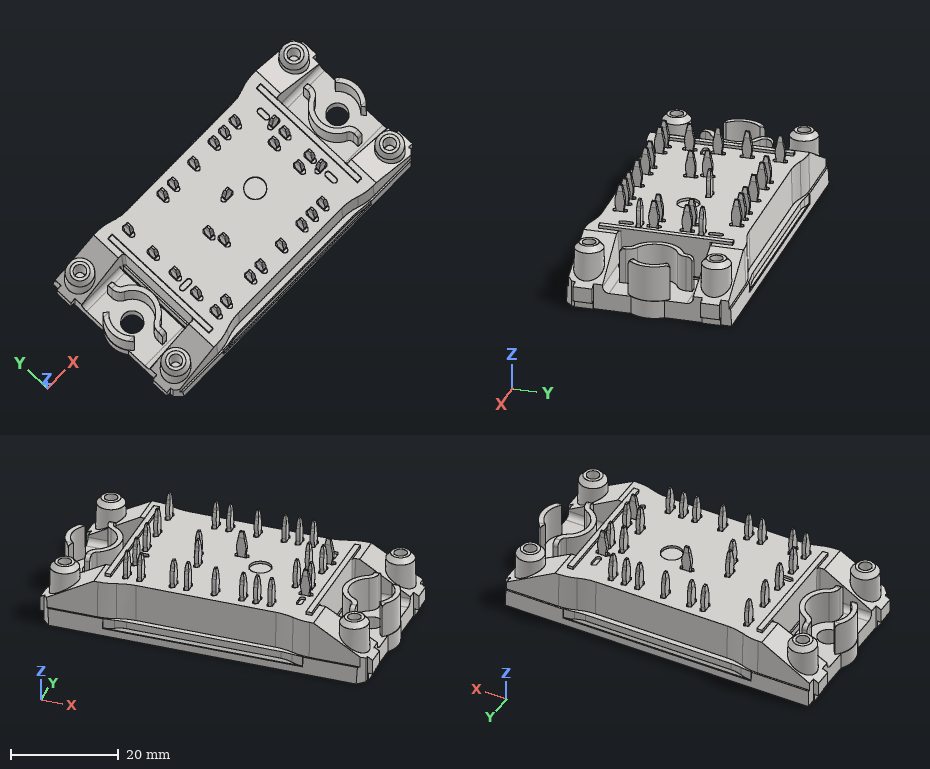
import cadquery as cq
import math

LENGTH = 66.0
WIDTH = 32.5
HEIGHT = 16.25
BODY_LENGTH = 63.9
BASE_HEIGHT = 3.55
BODY_HEIGHT = 11.0
BASE_DRAFT = 3.0
UPPER_DRAFT = 1.5
CORNER_CHAMFER = 1.45
SHOULDER_LENGTH = 43.55
RAMP_ANGLE = 30.0

UPPER_HALF_WIDTH = 15.7
WAIST_HALF_WIDTH = 14.45
WAIST_START = 21.0
WAIST_END = 13.85

RECESS_HALF_WIDTH = 15.6
RECESS_MOUTH = 15.9
RECESS_START = 19.8
RECESS_END = 15.3
RECESS_FLOOR = 2.1
RECESS_LIP = 1.5

NOTCH_HALF_WIDTH = 8.7
NOTCH_FILLET = 1.25
NOTCH_CORNER_RADIUS = 0.45
NOTCH_DRAFT = 2.8
SLOT_INNER_END = 20.85
SLOT_WIDTH = 0.8
SCREW_DIAMETER = 4.3
PLATE_LOBE_RADIUS = 5.5
GUARD_OUTER_RADIUS = 5.4
GUARD_THICKNESS = 1.05
GUARD_TOP = 10.6
GUARD_CORNER_RADIUS = 1.05
GUARD_END_ROUNDING = 0.8
GUARD_ARC_HALF_ANGLE = 48.5
WING_OFFSET = 1.25
WING_HALF_SPAN = 7.05
WING_BEND_RADIUS = 1.7

BOSS_X = 28.7
BOSS_Y = 12.35
BOSS_FOOT_DIAMETER = 5.9
BOSS_SHOULDER_DIAMETER = 5.55
BOSS_TOP_DIAMETER = 3.75
BOSS_TOP = 12.1
BOSS_HOLE_DIAMETER = 2.5
BOSS_HOLE_BOTTOM_DIAMETER = 2.0
BOSS_HOLE_DEPTH = 5.3
TAB_WIDTH = 3.6
TAB_STEP_HEIGHT = 1.6
TAB_FOOT_PROJECTION = 0.25

RAIL_X = 19.9
RAIL_WIDTH = 1.1
RAIL_LENGTH = 26.0
RAIL_HEIGHT = 0.6
DIMPLE_X = 5.5
TOP_RECESS_DEPTH = 0.5
PIN_SLOT_LENGTH = 2.8
PIN_SLOT_WIDTH = 1.1
PIN_THICKNESS = 0.8
PIN_TIP_THICKNESS = 0.4
PIN_FOOT_WIDTH = 1.45
PIN_BULGE_WIDTH = 1.85
PIN_COLLAR_WIDTH = 1.25
PIN_NECK_WIDTH = 1.2
PIN_TIP_WIDTH = 0.7
PIN_SHOULDER_WIDTH = 1.5
PIN_SHANK_TOP = 11.4
PIN_SHOULDER_HEIGHT = 14.2
PIN_COLLAR_HEIGHT = 14.7
PIN_NECK_HEIGHT = 15.05

PIN_ROW_Y = 11.3
BACK_ROW_X = (-16.75, -7.5, -4.7, 0.8, 6.3, 9.05, 11.9)
FRONT_ROW_X = (-16.75, -14.0, -7.5, -4.7, 0.8, 6.3, 9.05, 11.9)
INNER_PINS = (
    (-16.75, 4.9), (-16.75, -0.8), (-16.75, -6.3),
    (-6.8, 0.1), (-5.8, -2.85),
    (13.9, 3.2), (16.75, 3.2), (13.9, -3.3), (16.75, -3.3),
)
PINS_ALONG_Y = (
    tuple((x, PIN_ROW_Y) for x in BACK_ROW_X)
    + tuple((x, -PIN_ROW_Y) for x in FRONT_ROW_X)
    + INNER_PINS
)
PINS_ALONG_X = ((0.8, 2.8), (16.75, 6.1), (16.75, -6.1))
EMPTY_SLOTS_ALONG_Y = ((16.75, 8.7), (16.75, -8.7))
EMPTY_SLOTS_ALONG_X = ((-16.75, -3.4),)

HALF_LENGTH = LENGTH / 2
HALF_BODY = BODY_LENGTH / 2
RAIL_OUTER_SIDE = RAIL_X + RAIL_WIDTH / 2
SLOT_OUTER_END = SLOT_INNER_END + SLOT_WIDTH
SCREW_X = HALF_LENGTH - PLATE_LOBE_RADIUS
GUARD_INNER_RADIUS = GUARD_OUTER_RADIUS - GUARD_THICKNESS
GUARD_MID_RADIUS = GUARD_OUTER_RADIUS - GUARD_THICKNESS / 2


def block(x_min, x_max, y_min, y_max, z_min, z_max):
    size = (x_max - x_min, y_max - y_min, z_max - z_min)
    return cq.Workplane("XY").box(*size, centered=False).translate((x_min, y_min, z_min))


def both_ends(left_end):
    """The given shape at the -X end together with its mirror image at the +X end."""
    return left_end.union(left_end.mirror("YZ"))


def ramp_height(x):
    """Height of the sloping end face at a distance x from the middle."""
    return BODY_HEIGHT - (x - SHOULDER_LENGTH / 2) * math.tan(math.radians(RAMP_ANGLE))


def s_curve(sketch, start, end):
    """Extends the sketch from start to end by two equal arcs that leave and arrive along X."""
    run = end[0] - start[0]
    rise = end[1] - start[1]
    middle = (start[0] + run / 2, start[1] + rise / 2)
    radius = (run**2 + rise**2) / (4 * abs(rise))
    sag = math.copysign(radius - math.sqrt(radius**2 - (run / 4) ** 2), rise)
    first = (start[0] + run / 4, start[1] + sag)
    second = (end[0] - run / 4, end[1] - sag)
    return sketch.threePointArc(first, middle).threePointArc(second, end)


def make_upper():
    """Upper body with a waisted outline, before its ends are trimmed."""
    side, waist = UPPER_HALF_WIDTH, WAIST_HALF_WIDTH
    outline = cq.Workplane("XY").workplane(offset=BASE_HEIGHT).moveTo(-HALF_LENGTH, side)
    outline = outline.lineTo(-WAIST_START, side)
    outline = s_curve(outline, (-WAIST_START, side), (-WAIST_END, waist)).lineTo(WAIST_END, waist)
    outline = s_curve(outline, (WAIST_END, waist), (WAIST_START, side)).lineTo(HALF_LENGTH, side)
    outline = outline.lineTo(HALF_LENGTH, -side).lineTo(WAIST_START, -side)
    outline = s_curve(outline, (WAIST_START, -side), (WAIST_END, -waist)).lineTo(-WAIST_END, -waist)
    outline = s_curve(outline, (-WAIST_END, -waist), (-WAIST_START, -side))
    outline = outline.lineTo(-HALF_LENGTH, -side).close()
    return outline.extrude(BODY_HEIGHT - BASE_HEIGHT, taper=UPPER_DRAFT)


def make_body():
    """Base and upper body, trimmed to the footprint and to the sloping ends."""
    base = cq.Workplane("XY").rect(LENGTH, WIDTH).extrude(BASE_HEIGHT, taper=BASE_DRAFT)
    footprint = cq.Workplane("XY").rect(BODY_LENGTH, WIDTH).extrude(BODY_HEIGHT)
    footprint = footprint.edges("|Z and <Y").chamfer(CORNER_CHAMFER)
    ramp_profile = (
        cq.Workplane("XZ")
        .polyline([
            (-HALF_LENGTH, 0),
            (-HALF_LENGTH, ramp_height(HALF_LENGTH)),
            (-SHOULDER_LENGTH / 2, BODY_HEIGHT),
            (SHOULDER_LENGTH / 2, BODY_HEIGHT),
            (HALF_LENGTH, ramp_height(HALF_LENGTH)),
            (HALF_LENGTH, 0),
        ])
        .close()
        .extrude(WIDTH / 2, both=True)
    )
    return base.union(make_upper()).intersect(footprint).intersect(ramp_profile)


def make_side_recess():
    """Cutter for the shallow recess in the +Y side of the base, with its sloping floor."""
    outside = WIDTH
    left_mouth, right_mouth = (-RECESS_START, RECESS_MOUTH), (RECESS_START, RECESS_MOUTH)
    left_end, right_end = (-RECESS_END, RECESS_HALF_WIDTH), (RECESS_END, RECESS_HALF_WIDTH)
    plan = cq.Workplane("XY").moveTo(*left_mouth)
    plan = s_curve(plan, left_mouth, left_end).lineTo(*right_end)
    plan = s_curve(plan, right_end, right_mouth)
    plan = plan.lineTo(RECESS_START, outside).lineTo(-RECESS_START, outside).close()
    floor_profile = (
        cq.Workplane("YZ")
        .polyline([
            (RECESS_HALF_WIDTH, BASE_HEIGHT),
            (RECESS_HALF_WIDTH, RECESS_FLOOR),
            (RECESS_MOUTH, RECESS_LIP),
            (outside, RECESS_LIP),
            (outside, BASE_HEIGHT),
        ])
        .close()
        .extrude(RECESS_START, both=True)
    )
    return plan.extrude(BASE_HEIGHT).intersect(floor_profile)


def make_notch():
    """Cutter for the open notch above the mounting plate, and for the slot through its inner end.

    The side walls lean outward. The inner end wall is flush with the rail above it.
    """
    top_half_width = NOTCH_HALF_WIDTH + (HEIGHT - BASE_HEIGHT) * math.tan(math.radians(NOTCH_DRAFT))
    profile = [
        (-NOTCH_HALF_WIDTH, BASE_HEIGHT),
        (NOTCH_HALF_WIDTH, BASE_HEIGHT),
        (top_half_width, HEIGHT),
        (-top_half_width, HEIGHT),
    ]
    section = cq.Workplane("YZ").polyline(profile).close()
    notch = section.extrude(HALF_LENGTH - SLOT_OUTER_END).translate((-HALF_LENGTH, 0, 0))
    notch = notch.faces("<Z").edges("|X").fillet(NOTCH_FILLET)
    section = cq.Workplane("YZ").polyline(profile).close()
    inner_end = section.extrude(SLOT_OUTER_END - RAIL_OUTER_SIDE)
    inner_end = inner_end.faces(">X").edges("not |Y").fillet(NOTCH_CORNER_RADIUS)
    inner_end = inner_end.translate((-SLOT_OUTER_END, 0, 0))
    slot = block(
        -SLOT_OUTER_END, -SLOT_INNER_END,
        -NOTCH_HALF_WIDTH, NOTCH_HALF_WIDTH,
        0, BASE_HEIGHT,
    )
    return notch.union(inner_end).union(slot)


def make_outer_guard():
    """Arc-shaped wall around the outer side of the screw hole."""
    angle = math.radians(GUARD_ARC_HALF_ANGLE)
    half_span = GUARD_OUTER_RADIUS * math.sin(angle)
    far = 2 * GUARD_OUTER_RADIUS
    ring = cq.Workplane("XY").circle(GUARD_OUTER_RADIUS).extrude(GUARD_TOP)
    ring = ring.faces(">Z").workplane().hole(2 * GUARD_INNER_RADIUS)
    sector = (
        cq.Workplane("XY")
        .polyline([(0, 0), (-far, far * math.tan(angle)), (-far, -far * math.tan(angle))])
        .close()
        .extrude(GUARD_TOP)
    )
    rounded_front = block(-far, 0, -half_span, half_span, 0, GUARD_TOP)
    rounded_front = rounded_front.edges("|X and >Z").fillet(GUARD_END_ROUNDING)
    wall = ring.intersect(sector).intersect(rounded_front)
    return wall.translate((-SCREW_X, 0, 0))


def make_inner_guard():
    """Wall around the inner side of the screw hole, bending outward into two straight wings."""
    wing_x = -SCREW_X + WING_OFFSET
    bend_x = wing_x + WING_BEND_RADIUS
    reach = GUARD_MID_RADIUS + WING_BEND_RADIUS
    bend_y = math.sqrt(reach**2 - (bend_x + SCREW_X) ** 2)
    join_angle = math.atan2(bend_y, bend_x + SCREW_X)

    def on_ring(radius, side):
        return (-SCREW_X + radius * math.cos(join_angle), side * radius * math.sin(join_angle))

    def on_bend(radius, turn, side):
        return (bend_x + radius * math.cos(turn), side * (bend_y + radius * math.sin(turn)))

    bend_turn = (math.pi + join_angle + math.pi) / 2
    half = GUARD_THICKNESS / 2
    wide = WING_BEND_RADIUS + half
    tight = WING_BEND_RADIUS - half
    wall = (
        cq.Workplane("XY")
        .workplane(offset=BASE_HEIGHT)
        .moveTo(bend_x - wide, WING_HALF_SPAN)
        .lineTo(bend_x - wide, bend_y)
        .threePointArc(on_bend(wide, bend_turn, 1), on_ring(GUARD_INNER_RADIUS, 1))
        .threePointArc((-SCREW_X + GUARD_INNER_RADIUS, 0), on_ring(GUARD_INNER_RADIUS, -1))
        .threePointArc(on_bend(wide, bend_turn, -1), (bend_x - wide, -bend_y))
        .lineTo(bend_x - wide, -WING_HALF_SPAN)
        .lineTo(bend_x - tight, -WING_HALF_SPAN)
        .lineTo(bend_x - tight, -bend_y)
        .threePointArc(on_bend(tight, bend_turn, -1), on_ring(GUARD_OUTER_RADIUS, -1))
        .threePointArc((-SCREW_X + GUARD_OUTER_RADIUS, 0), on_ring(GUARD_OUTER_RADIUS, 1))
        .threePointArc(on_bend(tight, bend_turn, 1), (bend_x - tight, bend_y))
        .lineTo(bend_x - tight, WING_HALF_SPAN)
        .close()
        .extrude(GUARD_TOP - BASE_HEIGHT)
    )
    return wall.faces(">Z").edges("|X").fillet(GUARD_CORNER_RADIUS)


def make_boss(y):
    """Tapered corner post with a bevelled rim."""
    profile = [
        (0, BASE_HEIGHT),
        (BOSS_FOOT_DIAMETER / 2, BASE_HEIGHT),
        (BOSS_SHOULDER_DIAMETER / 2, BODY_HEIGHT),
        (BOSS_TOP_DIAMETER / 2, BOSS_TOP),
        (0, BOSS_TOP),
    ]
    boss = cq.Workplane("XZ").polyline(profile).close().revolve(360, (0, 0), (0, 1))
    return boss.translate((-BOSS_X, y, 0))


def make_boss_hole(y):
    """Cutter for the tapered blind hole in a boss."""
    hole_bottom = BOSS_TOP - BOSS_HOLE_DEPTH
    profile = [
        (0, hole_bottom),
        (BOSS_HOLE_BOTTOM_DIAMETER / 2, hole_bottom),
        (BOSS_HOLE_DIAMETER / 2, BOSS_TOP),
        (0, BOSS_TOP),
    ]
    hole = cq.Workplane("XZ").polyline(profile).close().revolve(360, (0, 0), (0, 1))
    return hole.translate((-BOSS_X, y, 0))


def make_tab(y):
    """End tab below each boss, stepped back near the foot, its top in line with the ramp."""
    foot_x = HALF_BODY + TAB_FOOT_PROJECTION
    profile = [
        (-HALF_BODY, 0),
        (-foot_x, 0),
        (-foot_x, TAB_STEP_HEIGHT),
        (-HALF_LENGTH, TAB_STEP_HEIGHT),
        (-HALF_LENGTH, ramp_height(HALF_LENGTH)),
        (-HALF_BODY, ramp_height(HALF_BODY)),
    ]
    tab = cq.Workplane("XZ").polyline(profile).close().extrude(TAB_WIDTH / 2, both=True)
    return tab.translate((0, y, 0))


def make_pin():
    """Press-fit pin at the origin, wide along Y, with a bulged blade and a four-sided tip."""
    foot = BODY_HEIGHT - TOP_RECESS_DEPTH
    half_foot = PIN_FOOT_WIDTH / 2
    half_bulge = PIN_BULGE_WIDTH / 2
    half_shoulder = PIN_SHOULDER_WIDTH / 2
    half_collar = PIN_COLLAR_WIDTH / 2
    half_neck = PIN_NECK_WIDTH / 2
    bulge_height = (PIN_SHANK_TOP + PIN_SHOULDER_HEIGHT) / 2
    blade = (
        cq.Workplane("YZ")
        .moveTo(-half_foot, foot)
        .lineTo(half_foot, foot)
        .lineTo(half_foot, PIN_SHANK_TOP)
        .threePointArc((half_bulge, bulge_height), (half_shoulder, PIN_SHOULDER_HEIGHT))
        .lineTo(half_collar, PIN_COLLAR_HEIGHT)
        .lineTo(half_neck, PIN_NECK_HEIGHT)
        .lineTo(-half_neck, PIN_NECK_HEIGHT)
        .lineTo(-half_collar, PIN_COLLAR_HEIGHT)
        .lineTo(-half_shoulder, PIN_SHOULDER_HEIGHT)
        .threePointArc((-half_bulge, bulge_height), (-half_foot, PIN_SHANK_TOP))
        .close()
        .extrude(PIN_THICKNESS / 2, both=True)
    )
    tip = (
        cq.Workplane("XY")
        .workplane(offset=PIN_NECK_HEIGHT)
        .rect(PIN_THICKNESS, PIN_NECK_WIDTH)
        .workplane(offset=HEIGHT - PIN_NECK_HEIGHT)
        .rect(PIN_TIP_THICKNESS, PIN_TIP_WIDTH)
        .loft()
    )
    return blade.union(tip)


def make_pin_slots(places, angle):
    """Cutter for the shallow round-ended slots in the top face; angle 0 runs along X."""
    return (
        cq.Workplane("XY")
        .workplane(offset=BODY_HEIGHT - TOP_RECESS_DEPTH)
        .pushPoints(places)
        .slot2D(PIN_SLOT_LENGTH, PIN_SLOT_WIDTH, angle)
        .extrude(TOP_RECESS_DEPTH)
    )


side_recess = make_side_recess()
housing = make_body().cut(side_recess).cut(side_recess.mirror("XZ"))
housing = housing.cut(both_ends(make_notch()))

plate_lobe = cq.Workplane("XY").circle(PLATE_LOBE_RADIUS).extrude(BASE_HEIGHT)
housing = housing.union(both_ends(plate_lobe.translate((-SCREW_X, 0, 0))))
housing = housing.union(both_ends(make_outer_guard()))
housing = housing.union(both_ends(make_inner_guard()))
for y in (-BOSS_Y, BOSS_Y):
    housing = housing.union(both_ends(make_boss(y).union(make_tab(y))))
    housing = housing.cut(both_ends(make_boss_hole(y)))
screw_holes = [(-SCREW_X, 0), (SCREW_X, 0)]
housing = housing.cut(
    cq.Workplane("XY").pushPoints(screw_holes).circle(SCREW_DIAMETER / 2).extrude(BASE_HEIGHT)
)

rail = block(
    -RAIL_OUTER_SIDE, -RAIL_X + RAIL_WIDTH / 2,
    -RAIL_LENGTH / 2, RAIL_LENGTH / 2,
    BODY_HEIGHT, BODY_HEIGHT + RAIL_HEIGHT,
)
housing = housing.union(both_ends(rail))
dimple = cq.Workplane("XY").circle(SCREW_DIAMETER / 2).extrude(TOP_RECESS_DEPTH)
housing = housing.cut(dimple.translate((DIMPLE_X, 0, BODY_HEIGHT - TOP_RECESS_DEPTH)))
housing = housing.cut(make_pin_slots(PINS_ALONG_Y + EMPTY_SLOTS_ALONG_Y, 90))
housing = housing.cut(make_pin_slots(PINS_ALONG_X + EMPTY_SLOTS_ALONG_X, 0))

pin = make_pin()
turned_pin = pin.rotate((0, 0, 0), (0, 0, 1), 90)
for x, y in PINS_ALONG_Y:
    housing = housing.union(pin.translate((x, y, 0)))
for x, y in PINS_ALONG_X:
    housing = housing.union(turned_pin.translate((x, y, 0)))

result = housing